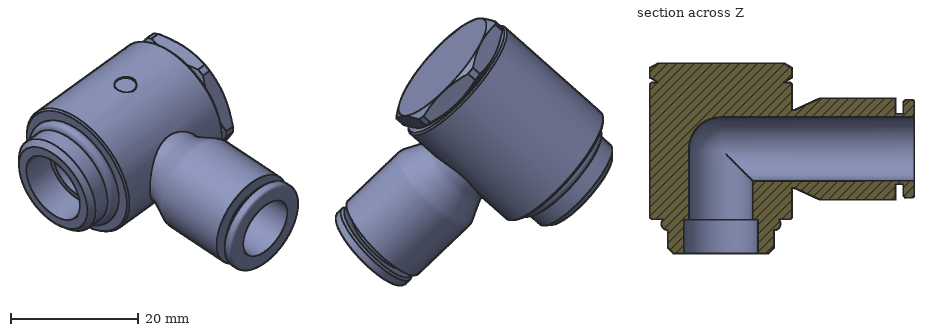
import cadquery as cq
import math


body_radius = 11.2
body_edge_chamfer = 0.3
hex_end_y = 13.5
hex_height = 3.0
body_length = 21.57
body_back_y = hex_end_y - hex_height
body_front_y = body_back_y - body_length

hex_half_flats = 10.0
hex_face_radius = 9.95
hex_chamfer_angle = 30.0

spigot_radius = 8.37
spigot_length = 5.37
spigot_chamfer = 0.9
spigot_end_y = body_front_y - spigot_length

seal_section_radius = 1.05
seal_offset = 0.65

neck_radius = 6.12
sleeve_radius = 8.0
cone_start_x = 11.55
cone_end_x = 15.58
cone_blend_radius = 1.5
sleeve_end_x = 27.5

collar_stem_radius = 5.6
collar_radius = 7.75
collar_start_x = 28.65
collar_end_x = 30.45
collar_chamfer = 0.37
collar_fillet = 0.4

passage_radius = 5.0
mouth_radius = 5.85
mouth_depth = 5.3

recess_radius = 1.75
recess_depth = 0.35


def cylinder_y(radius, start_y, end_y):
    """Solid cylinder on the Y axis from start_y up to end_y."""
    base = cq.Workplane("XZ", origin=(0, end_y, 0))
    return base.circle(radius).extrude(end_y - start_y)


def cylinder_x(radius, start_x, end_x):
    """Solid cylinder on the X axis from start_x to end_x."""
    base = cq.Workplane("YZ", origin=(start_x, 0, 0))
    return base.circle(radius).extrude(end_x - start_x)


def make_hex_head():
    """Hexagon, flat on top and bottom, with corners turned to the body radius and both ends chamfered."""
    chamfer_radial = body_radius - hex_face_radius
    chamfer_axial = chamfer_radial * math.tan(math.radians(hex_chamfer_angle))
    corner_diameter = 2 * hex_half_flats / math.cos(math.pi / 6)
    hexagon = (
        cq.Workplane("XZ", origin=(0, hex_end_y, 0))
        .polygon(6, corner_diameter)
        .extrude(hex_height)
    )
    envelope = (
        cq.Workplane("XY")
        .moveTo(0, body_back_y)
        .lineTo(hex_face_radius, body_back_y)
        .lineTo(body_radius, body_back_y + chamfer_axial)
        .lineTo(body_radius, hex_end_y - chamfer_axial)
        .lineTo(hex_face_radius, hex_end_y)
        .lineTo(0, hex_end_y)
        .close()
        .revolve(360, (0, 0, 0), (0, 1, 0))
    )
    return hexagon.intersect(envelope)


def make_body():
    """Swivel body with both rims chamfered and the round recess on its top."""
    body = cylinder_y(body_radius, body_front_y, body_back_y)
    body = body.faces("<Y or >Y").edges().chamfer(body_edge_chamfer)
    recess = (
        cq.Workplane("XY", origin=(0, 0, body_radius - recess_depth))
        .circle(recess_radius)
        .extrude(2 * recess_depth)
    )
    return body.cut(recess)


def make_spigot():
    """Plain cylindrical end, starting inside the body, with a chamfered tip."""
    spigot = cylinder_y(spigot_radius, spigot_end_y, body_back_y)
    return spigot.faces("<Y").edges().chamfer(spigot_chamfer)


def make_seal():
    """Sealing ring of round section, partly sunk into the front face of the body."""
    return (
        cq.Workplane("XY")
        .center(spigot_radius, body_front_y - seal_offset)
        .circle(seal_section_radius)
        .revolve(360, (-spigot_radius, 0, 0), (-spigot_radius, 1, 0))
    )


def make_branch():
    """Neck, blended cone and sleeve of the tube branch."""
    branch = (
        cq.Workplane("XY")
        .moveTo(0, 0)
        .lineTo(0, neck_radius)
        .lineTo(cone_start_x, neck_radius)
        .lineTo(cone_end_x, sleeve_radius)
        .lineTo(sleeve_end_x, sleeve_radius)
        .lineTo(sleeve_end_x, 0)
        .close()
        .revolve(360, (0, 0, 0), (1, 0, 0))
    )
    cone_ends = cq.selectors.BoxSelector(
        (cone_start_x - cone_blend_radius, -neck_radius, -neck_radius),
        (cone_end_x + cone_blend_radius, neck_radius, neck_radius),
    )
    return branch.edges("%CIRCLE").edges(cone_ends).fillet(cone_blend_radius)


def make_collar():
    """Release collar on a thinner stem that starts inside the sleeve."""
    collar = cylinder_x(collar_radius, collar_start_x, collar_end_x)
    collar = collar.faces("<X").edges().chamfer(collar_chamfer)
    collar = collar.faces(">X").edges().fillet(collar_fillet)
    stem = cylinder_x(collar_stem_radius, cone_end_x, collar_start_x)
    return collar.union(stem)


def make_passage():
    """Elbow passage: equal bores along -Y and +X joined by a ball, with a wider mouth in the spigot."""
    spigot_bore = cylinder_y(passage_radius, spigot_end_y, 0)
    mouth = cylinder_y(mouth_radius, spigot_end_y, spigot_end_y + mouth_depth)
    branch_bore = cylinder_x(passage_radius, 0, collar_end_x)
    ball = cq.Workplane("XY").sphere(passage_radius)
    return spigot_bore.union(branch_bore).union(ball).union(mouth)


result = (
    make_body()
    .union(make_hex_head())
    .union(make_spigot())
    .union(make_seal())
    .union(make_branch())
    .union(make_collar())
    .cut(make_passage())
)